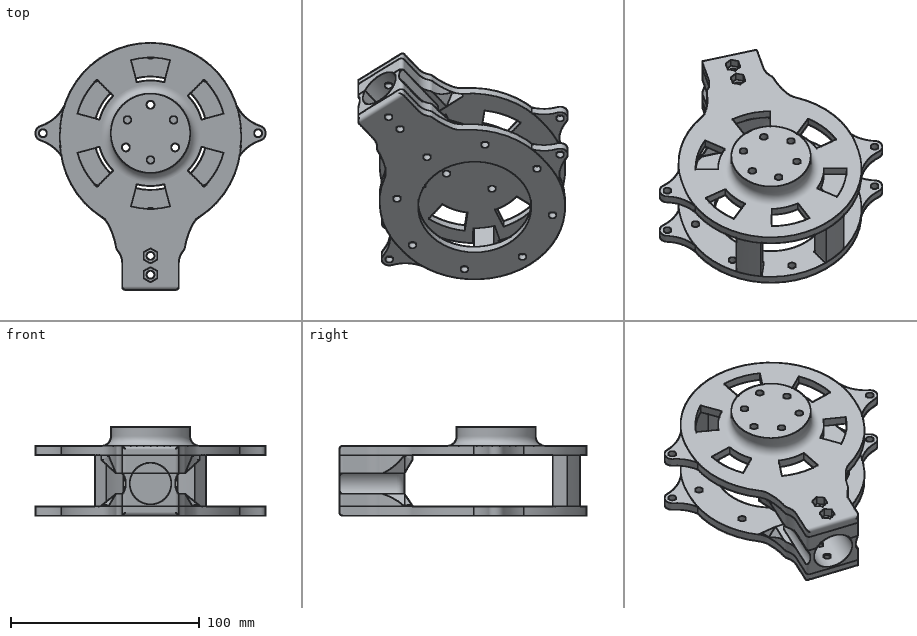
import cadquery as cq
import math

disc_radius = 47.9
disc_stretch = 4.0
plate_thickness = 5.0
plate_gap = 27.1

hub_diameter = 42.0
hub_height = 10.0
hub_flare = 5.0
hub_through_hole_circle = 15.0
hub_blind_hole_circle = 14.1
hub_through_hole_start = 90
hub_blind_hole_start = 30
hub_hole_count = 3

slot_inner_radius = 28.0
slot_outer_radius = 40.0
slot_half_angle = 15
slot_count = 6

ring_opening_diameter = 60.0
ring_hole_circle = 41.5
ring_hole_count = 8
screw_diameter = 4.0

ear_hole_x = 57.0
ear_radius = 4.0
ear_root_y = 14.7
ear_flank_angle = 72

neck_half_width = 15.0
neck_end_y = -68.7
shoulder_x = 26.0
shoulder_bend_x = 22.3
shoulder_end = (18.2, -60.9)
neck_start = (17.8, -61.8)
front_y = -83.0
front_round = 2.0

bore_diameter = 22.0
bore_depth = 30.0
bore_z = 17.0
web_height = 11.0
web_back_y = -48.5
web_back_round = 3.9
groove_depth = 2.0
wing_half_width = 18.3
upper_wing_lip = 2.5
lower_wing_lip = 0.4

first_bolt_y = -64.9
bolt_pitch = 10.0
nut_across_flats = 7.0

spacer_inner_radius = 38.0
spacer_mid_angle = 30
spacer_half_angle = 8
spacer_foot = 0.5

upper_plate_z = plate_thickness + plate_gap
top_z = upper_plate_z + plate_thickness
web_bottom_z = bore_z - web_height / 2
split_z = bore_z + web_height / 2
hub_radius = hub_diameter / 2
shoulder_y = -disc_stretch - math.sqrt(disc_radius**2 - shoulder_x**2)
arc_bow = 1 - math.sqrt(0.5)
block_length = web_back_y - front_y
bolt_places = [(0, first_bolt_y), (0, first_bolt_y - bolt_pitch)]


def polar(radius, degrees):
    angle = math.radians(degrees)
    return (radius * math.cos(angle), radius * math.sin(angle))


def ring_places(radius, count, start_degrees):
    return [polar(radius, start_degrees + i * 360 / count) for i in range(count)]


def drill(places, diameter, z_from, z_to):
    """Upright round bars, used to cut holes between two heights."""
    plane = cq.Workplane("XY", origin=(0, 0, z_from))
    return plane.pushPoints(places).circle(diameter / 2).extrude(z_to - z_from)


def outline(z_from, z_to):
    """Disc, shoulders and neck, extruded between two heights."""
    upper_mid = polar(disc_radius, 45)
    lower_end_angle = math.degrees(math.atan2(shoulder_y + disc_stretch, shoulder_x))
    lower_mid = polar(disc_radius, lower_end_angle / 2)
    neck_bend = (neck_start[0] - neck_half_width, neck_start[1] - neck_end_y)
    neck_radius = (neck_bend[0] ** 2 + neck_bend[1] ** 2) / (2 * neck_bend[0])
    half_bend = math.asin(neck_bend[1] / neck_radius) / 2
    neck_mid = (
        neck_half_width + neck_radius * (1 - math.cos(half_bend)),
        neck_end_y + neck_radius * math.sin(half_bend),
    )
    return (
        cq.Workplane("XY", origin=(0, 0, z_from))
        .moveTo(0, disc_radius)
        .threePointArc(upper_mid, (disc_radius, 0))
        .lineTo(disc_radius, -disc_stretch)
        .threePointArc((lower_mid[0], lower_mid[1] - disc_stretch), (shoulder_x, shoulder_y))
        .tangentArcPoint((shoulder_bend_x, web_back_y), relative=False)
        .tangentArcPoint(shoulder_end, relative=False)
        .lineTo(*neck_start)
        .threePointArc(neck_mid, (neck_half_width, neck_end_y))
        .lineTo(neck_half_width, front_y + front_round)
        .radiusArc((neck_half_width - front_round, front_y), front_round)
        .lineTo(0, front_y)
        .mirrorY()
        .extrude(z_to - z_from)
    )


def front_envelope():
    """Block around the plates whose lower and upper front edges are rounded."""
    length = disc_radius - front_y
    block = cq.Workplane("XY", origin=(0, front_y, 0)).box(
        2 * disc_radius, length, top_z, centered=(True, False, False)
    )
    return block.faces("<Y").edges("|X").fillet(front_round)


def slots():
    """Ring sectors spread evenly around the hub, one of them on the Y axis."""
    left, right = 90 + slot_half_angle, 90 - slot_half_angle
    slot = (
        cq.Workplane("XY", origin=(0, 0, upper_plate_z))
        .moveTo(*polar(slot_inner_radius, left))
        .lineTo(*polar(slot_outer_radius, left))
        .threePointArc((0, slot_outer_radius), polar(slot_outer_radius, right))
        .lineTo(*polar(slot_inner_radius, right))
        .threePointArc((0, slot_inner_radius), polar(slot_inner_radius, left))
        .close()
        .extrude(plate_thickness)
    )
    ring = cq.Workplane("XY")
    for i in range(slot_count):
        ring = ring.add(slot.rotate((0, 0, 0), (0, 0, 1), i * 360 / slot_count))
    return ring.combine()


def hub():
    """Round boss with a concave flare at its foot."""
    flare_mid = hub_radius + hub_flare * arc_bow
    flare_mid_z = top_z + hub_flare * arc_bow
    return (
        cq.Workplane("XZ")
        .moveTo(0, top_z)
        .lineTo(hub_radius + hub_flare, top_z)
        .threePointArc((flare_mid, flare_mid_z), (hub_radius, top_z + hub_flare))
        .lineTo(hub_radius, top_z + hub_height)
        .lineTo(0, top_z + hub_height)
        .close()
        .revolve(360, (0, 0), (0, 1))
    )


def nut_pockets():
    """Hexagons through the upper plate with corners along Y."""
    corner_turn = 30
    across_corners = nut_across_flats / math.cos(math.radians(corner_turn))
    pocket = cq.Workplane("XY").polygon(6, across_corners).extrude(plate_thickness)
    pocket = pocket.rotate((0, 0, 0), (0, 0, 1), corner_turn)
    pockets = cq.Workplane("XY")
    for x, y in bolt_places:
        pockets = pockets.add(pocket.translate((x, y, upper_plate_z)))
    return pockets.combine()


def upper_plate():
    hub_top_z = top_z + hub_height
    plate = outline(upper_plate_z, top_z).intersect(front_envelope()).union(hub())
    plate = plate.cut(slots()).cut(nut_pockets())
    through_places = ring_places(hub_through_hole_circle, hub_hole_count, hub_through_hole_start)
    blind_places = ring_places(hub_blind_hole_circle, hub_hole_count, hub_blind_hole_start)
    plate = plate.cut(drill(through_places, screw_diameter, upper_plate_z, hub_top_z))
    return plate.cut(drill(blind_places, screw_diameter, top_z, hub_top_z))


def lower_plate():
    plate = outline(0, plate_thickness).intersect(front_envelope())
    plate = plate.cut(drill([(0, 0)], ring_opening_diameter, 0, plate_thickness))
    hole_places = ring_places(ring_hole_circle, ring_hole_count, 0) + bolt_places
    return plate.cut(drill(hole_places, screw_diameter, 0, plate_thickness))


def ear(side, z):
    """Lug with a screw hole on the +X (side = 1) or -X (side = -1) edge of a plate."""
    round_x, round_y = polar(ear_radius, ear_flank_angle / 2)
    tip_x, tip_y = polar(ear_radius, ear_flank_angle)
    root_x = math.sqrt(disc_radius**2 - ear_root_y**2)
    lug = (
        cq.Workplane("XY", origin=(0, 0, z))
        .moveTo(ear_hole_x + ear_radius, 0)
        .threePointArc((ear_hole_x + round_x, round_y), (ear_hole_x + tip_x, tip_y))
        .tangentArcPoint((root_x, ear_root_y), relative=False)
        .lineTo(root_x - ear_radius, ear_root_y)
        .lineTo(root_x - ear_radius, 0)
        .mirrorX()
        .extrude(plate_thickness)
    )
    lug = lug.cut(drill([(ear_hole_x, 0)], screw_diameter, z, z + plate_thickness))
    if side < 0:
        lug = lug.mirror("YZ")
    return lug.cut(outline(z, z + plate_thickness))


def wings(plate_z, web_z, lip):
    """Clamp part between a plate and the web, tapered from the plate's outline to the web side."""
    low, high = min(plate_z, web_z), max(plate_z, web_z)
    toward_web = 1 if web_z > plate_z else -1
    body = cq.Workplane("XY", origin=(0, front_y, low)).box(
        2 * disc_radius, block_length, high - low, centered=(True, False, False)
    )
    for side in (-1, 1):
        taper = (
            cq.Workplane("XZ", origin=(0, web_back_y, 0))
            .moveTo(side * wing_half_width, web_z)
            .lineTo(side * shoulder_bend_x, plate_z)
            .lineTo(side * disc_radius, plate_z)
            .lineTo(side * disc_radius, web_z)
            .close()
            .extrude(web_back_y - shoulder_end[1])
        )
        body = body.cut(taper)
    rear = (
        cq.Workplane("XZ", origin=(0, web_back_y, 0))
        .moveTo(-shoulder_bend_x, plate_z)
        .lineTo(shoulder_bend_x, plate_z)
        .lineTo(wing_half_width, web_z)
        .lineTo(-wing_half_width, web_z)
        .close()
        .workplane(offset=web_back_y - shoulder_y)
        .moveTo(-shoulder_x, plate_z)
        .lineTo(shoulder_x, plate_z)
        .lineTo(shoulder_x, plate_z + toward_web * lip)
        .lineTo(-shoulder_x, plate_z + toward_web * lip)
        .close()
        .loft(ruled=True)
    )
    return body.union(rear).intersect(outline(low, high))


def web():
    """Bar between the wings with a round groove along each side, rounded over at the back."""
    bar = cq.Workplane("XY", origin=(0, front_y, web_bottom_z)).box(
        2 * neck_half_width, block_length, web_height, centered=(True, False, False)
    )
    groove_radius = ((web_height / 2) ** 2 + groove_depth**2) / (2 * groove_depth)
    groove_x = neck_half_width - groove_depth + groove_radius
    grooves = (
        cq.Workplane("XZ", origin=(0, web_back_y, bore_z))
        .pushPoints([(-groove_x, 0), (groove_x, 0)])
        .circle(groove_radius)
        .extrude(block_length)
    )
    bar = bar.cut(grooves).intersect(outline(web_bottom_z, split_z))
    groove_ends = bar.faces(">Y").edges("<X or >X")
    return groove_ends.fillet(web_back_round)


def clamp_cuts():
    """Blind bore from the front and the two bolt holes."""
    bore = cq.Workplane("XZ", origin=(0, front_y, bore_z)).circle(bore_diameter / 2).extrude(-bore_depth)
    return bore.union(drill(bolt_places, screw_diameter, plate_thickness, upper_plate_z))


def lower_clamp():
    return wings(plate_thickness, web_bottom_z, lower_wing_lip).union(web()).cut(clamp_cuts())


def upper_clamp():
    return wings(upper_plate_z, split_z, upper_wing_lip).cut(clamp_cuts())


def spacer_foot_strip(end):
    """Concave fillet along the lower edge of one radial end (end = 1 or -1) of a spacer on the X axis."""
    end_angle = math.radians(end * spacer_half_angle)
    radial = (math.cos(end_angle), math.sin(end_angle), 0)
    outward = (-end * math.sin(end_angle), end * math.cos(end_angle), 0)
    start = (spacer_inner_radius * radial[0], spacer_inner_radius * radial[1], plate_thickness)
    arc_mid = spacer_foot * arc_bow
    length = disc_radius - spacer_inner_radius
    plane = cq.Plane(origin=start, xDir=outward, normal=radial)
    rise = 1 if plane.yDir.z > 0 else -1
    return (
        cq.Workplane(plane)
        .lineTo(spacer_foot, 0)
        .threePointArc((arc_mid, rise * arc_mid), (0, rise * spacer_foot))
        .close()
        .extrude(length)
    )


def spacer(side):
    """Ring sector between the plates at the +X (side = 1) or -X (side = -1) part of the rear."""
    low, high = -spacer_half_angle, spacer_half_angle
    post = (
        cq.Workplane("XY", origin=(0, 0, plate_thickness))
        .moveTo(*polar(spacer_inner_radius, low))
        .lineTo(*polar(disc_radius, low))
        .threePointArc((disc_radius, 0), polar(disc_radius, high))
        .lineTo(*polar(spacer_inner_radius, high))
        .threePointArc((spacer_inner_radius, 0), polar(spacer_inner_radius, low))
        .close()
        .extrude(plate_gap)
    )
    middle_z = plate_thickness + plate_gap / 2
    for end in (-1, 1):
        strip = spacer_foot_strip(end)
        post = post.union(strip).union(strip.mirror("XY", (0, 0, middle_z)))
    return post.rotate((0, 0, 0), (0, 0, 1), 90 - side * spacer_mid_angle)


ears = [ear(side, z) for z in (0, upper_plate_z) for side in (-1, 1)]
spacers = [spacer(side) for side in (-1, 1)]
bodies = [upper_plate(), lower_plate(), upper_clamp(), lower_clamp(), *ears, *spacers]
result = cq.Compound.makeCompound([body.val() for body in bodies])